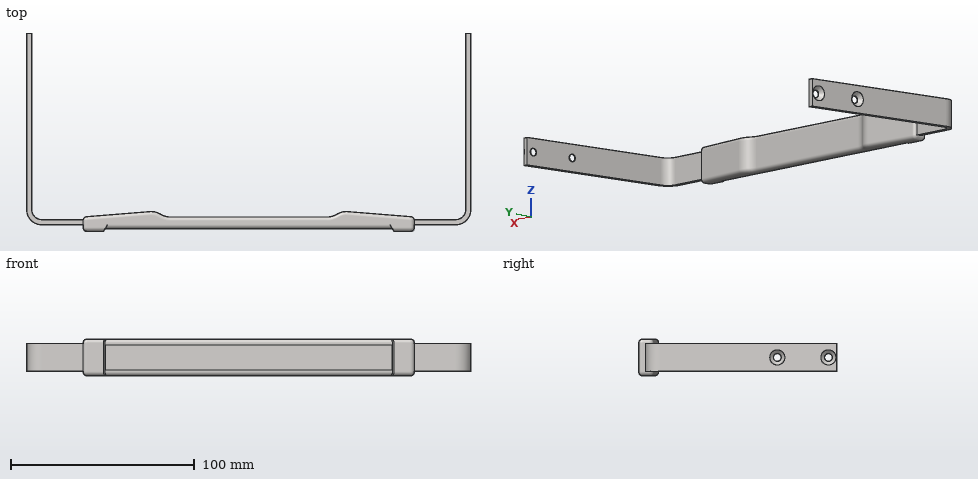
import cadquery as cq

span = 242.0
strap_thickness = 3.0
strap_width = 15.2
strap_front = 3.6
bend_radius = 8.2
arm_end = 108.0

hole_diameter = 4.0
countersink_diameter = 8.2
countersink_angle = 82
hole_from_end = 4.5
hole_spacing = 27.8

grip_length = 180.5
grip_height = 20.0
grip_half = grip_length / 2
end_back = 8.0
hump_back = 11.1
middle_back = 8.0
hump_x = 51.0
middle_x = 45.3
hump_blend = 9.2
edge_fillet = 2.2

pad_length = 11.1
pad_slope_run = 2.2
middle_front = 1.5
panel_height = 13.8
panel_depth = 0.5
pad_slope_depth = middle_front + edge_fillet
pad_inner_x = grip_half - pad_length
panel_floor = middle_front + panel_depth
panel_half = pad_inner_x - pad_slope_run * panel_floor / pad_slope_depth


def make_strap():
    """U-shaped bar with two countersunk holes in each arm."""
    strap_depth = arm_end - strap_front
    outer = (
        cq.Workplane("XY")
        .box(span, strap_depth, strap_width, centered=(True, False, True))
        .edges("|Z and <Y")
        .fillet(bend_radius)
    )
    inner = (
        cq.Workplane("XY")
        .box(span - 2 * strap_thickness, strap_depth, strap_width, centered=(True, False, True))
        .edges("|Z and <Y")
        .fillet(bend_radius - strap_thickness)
        .translate((0, strap_thickness, 0))
    )
    strap = outer.cut(inner).translate((0, strap_front, 0))
    hole_centre_y = arm_end - hole_from_end
    hole_points = [(hole_centre_y, 0), (hole_centre_y - hole_spacing, 0)]
    for side in (-1, 1):
        outer_face = cq.Plane(origin=(side * span / 2, 0, 0), xDir=(0, 1, 0), normal=(side, 0, 0))
        strap = (
            strap.copyWorkplane(cq.Workplane(outer_face))
            .pushPoints(hole_points)
            .cskHole(hole_diameter, countersink_diameter, countersink_angle, depth=strap_thickness)
        )
    return strap


def prism(points):
    """Extrude an XY outline over the full height of the grip, centred on Z = 0."""
    return cq.Workplane("XY").polyline(points).close().extrude(grip_height / 2, both=True)


def mirrored(right_half):
    """Complete an outline with the mirror image of its right half."""
    return right_half + [(-x, y) for x, y in reversed(right_half)]


def make_blank():
    """Rounded handle with two humps at the back and a plain front."""
    outline = mirrored(
        [
            (grip_half, 0),
            (grip_half, end_back),
            (hump_x, hump_back),
            (middle_x, middle_back),
        ]
    )
    blank = prism(outline)
    blank = blank.faces("<X or >X").edges("|Z").fillet(edge_fillet)
    margin = 2.5
    hump_zone = cq.selectors.BoxSelector(
        (-hump_x - margin, middle_back - margin, -grip_height),
        (hump_x + margin, hump_back + margin, grip_height),
    )
    blank = blank.edges("|Z").edges(hump_zone).fillet(hump_blend)
    return blank.faces("<Z or >Z").edges().fillet(edge_fillet)


def make_front_waste():
    """Material between the end pads, in front of the rounded middle and its panel."""
    window = prism(mirrored([(pad_inner_x, 0), (pad_inner_x - pad_slope_run, pad_slope_depth)]))
    rounded_middle = (
        cq.Workplane("XY")
        .box(grip_length, middle_back, grip_height, centered=(True, False, True))
        .edges("|X and <Y")
        .fillet(edge_fillet)
        .translate((0, middle_front, 0))
    )
    panel = cq.Workplane("XY").box(
        2 * panel_half, panel_floor, panel_height, centered=(True, False, True)
    )
    return window.cut(rounded_middle).union(panel)


def make_grip(strap):
    """Handle with end pads and a front panel, hollowed to hold the strap."""
    return make_blank().cut(make_front_waste()).cut(strap)


strap = make_strap()
grip = make_grip(strap)
result = cq.Compound.makeCompound([strap.val(), *grip.vals()])